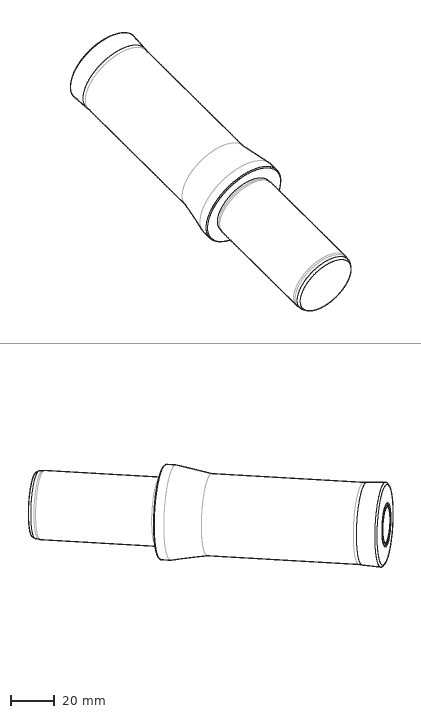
import cadquery as cq

total_length = 165.0

head_back_x = 10.2
head_rim_radius = 19.6
head_back_radius = 19.1
face_rim_x = 0.7
face_rim_radius = 18.6
rim_chamfer_back_x = 1.5
face_center_radius = 8.2
face_ring_radius = 10.2
groove_depth = 0.3
groove_wall_run = 0.7

body_radius = 38.0 / 2
body_taper_end_x = 11.7
cone_start_x = 83.0

collar_radius = 44.0 / 2
collar_front_x = 100.0
collar_back_x = 105.0
collar_chamfer = 0.5

shank_radius = 32.0 / 2
relief_radius = 31.5 / 2
neck_end_x = 106.0
shank_start_x = 107.0
shank_end_x = 161.4
end_relief_start_x = 162.2
end_chamfer = 1.3
end_face_radius = 15.0


def turned(profile):
    """Revolve a closed (x, radius) profile about the X axis."""
    return cq.Workplane("XY").polyline(profile).close().revolve(360, (0, 0, 0), (1, 0, 0))


def make_cutting_head():
    """Slightly tapered head with a grooved, shallow conical face."""
    return turned([
        (0, 0),
        (0, face_center_radius),
        (groove_depth, face_center_radius + groove_wall_run),
        (groove_depth, face_ring_radius - groove_wall_run),
        (0, face_ring_radius),
        (face_rim_x, face_rim_radius),
        (rim_chamfer_back_x, head_rim_radius),
        (head_back_x, head_back_radius),
        (head_back_x, 0),
    ])


def make_holder():
    """Body, flared collar and relieved cylindrical shank behind the head."""
    return turned([
        (head_back_x, 0),
        (head_back_x, head_back_radius),
        (body_taper_end_x, body_radius),
        (cone_start_x, body_radius),
        (collar_front_x, collar_radius),
        (collar_back_x - collar_chamfer, collar_radius),
        (collar_back_x, collar_radius - collar_chamfer),
        (collar_back_x, relief_radius),
        (neck_end_x, relief_radius),
        (shank_start_x, shank_radius),
        (shank_end_x, shank_radius),
        (end_relief_start_x, relief_radius),
        (total_length - end_chamfer, relief_radius),
        (total_length, end_face_radius),
        (total_length, 0),
    ])


cutting_head = make_cutting_head()
holder = make_holder()

result = cq.Compound.makeCompound([cutting_head.val(), holder.val()])